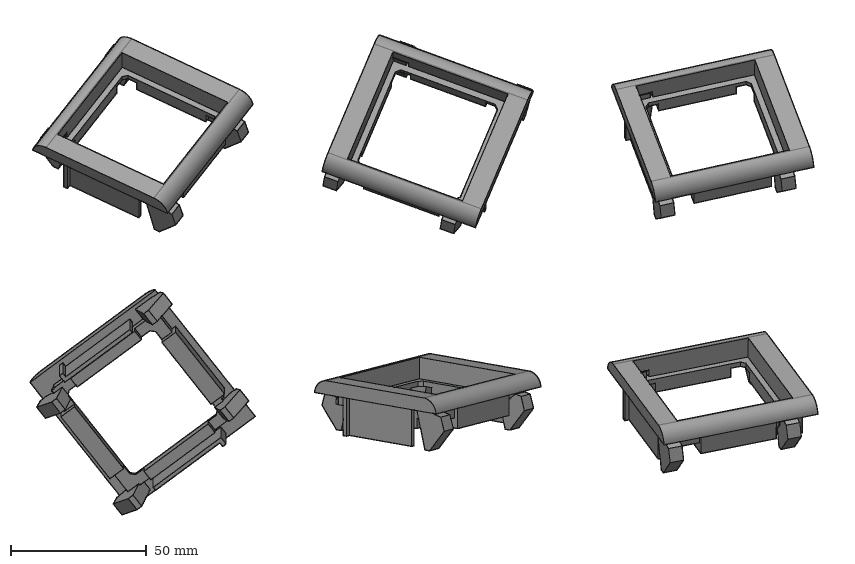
import cadquery as cq


PLATE_LENGTH_Y = 60.8
PLATE_HALF_WIDTH = 29.1
PLATE_THICKNESS = 5.2
FLAT_TOP_HALF_WIDTH = 23.25

BOX_SIZE_X = 50.05
BOX_SIZE_Y = 48.8
BOX_BOTTOM = -9.95
POCKET_TOP_SIZE = 45.6
POCKET_FLOOR_SIZE = 45.1
LEDGE_TOP = -8.0
WINDOW_SIZE = 40.5
WINDOW_CHAMFER = 1.5

WALL_HALF_LENGTH = 14.9
WALL_BOTTOM = -13.75
SIDE_WALL_OUTER_X = 26.6
SKIRT_INNER_Y = 25.85
SKIRT_THICKNESS = 1.45
SKIRT_FLANGE_WIDTH = 1.6
SKIRT_FLANGE_DEPTH = 3.2

OVERALL_LENGTH_X = 63.7
OVERALL_HEIGHT = 20.0
HOOK_WIDTH = 5.35
INNER_HOOK_Y = 17.45
OUTER_HOOK_Y = 23.7
HOOK_ROOT_INNER_X = 18.7
HOOK_ROOT_OUTER_X = 26.1
HOOK_SHOULDER = (27.5, -6.0)
HOOK_CORNER = (30.2, -6.5)
HOOK_TIP_Z = -11.65
HOOK_FOOT_INNER_X = 22.6
HOOK_FOOT_OUTER_X = 24.85

RELIEF_START_Y = 16.5
RELIEF_END_Y = 24.1
RELIEF_TOP_X = 22.75
RELIEF_SEAT_X = 24.0
RELIEF_SEAT_Z = -8.3
WEB_TOP = -5.7
HOOK_NOTCH_Z = -8.6

PLATE_BOTTOM = -PLATE_THICKNESS
OVERALL_BOTTOM = -OVERALL_HEIGHT
BOX_HALF_X = BOX_SIZE_X / 2
BOX_HALF_Y = BOX_SIZE_Y / 2
WINDOW_HALF = WINDOW_SIZE / 2
POCKET_FLOOR_HALF = POCKET_FLOOR_SIZE / 2


def block(x_range, y_range, z_range):
    """Axis-aligned box filling the given (low, high) ranges."""
    size = [high - low for low, high in (x_range, y_range, z_range)]
    corner = (x_range[0], y_range[0], z_range[0])
    return cq.Workplane("XY").box(*size, centered=False).translate(corner)


def xz_prism(points, y_range):
    """Closed XZ polygon extruded over a (low, high) range of Y."""
    low, high = y_range
    return cq.Workplane("XZ", origin=(0, high, 0)).polyline(points).close().extrude(high - low)


def with_half_turn(shape):
    """A shape together with its copy turned half a revolution about Z."""
    return shape.union(shape.rotate((0, 0, 0), (0, 0, 1), 180))


def make_plate():
    """Plate whose long edges curve down tangentially from the flat top."""
    half = (
        cq.Workplane("XZ", origin=(0, PLATE_LENGTH_Y / 2, 0))
        .lineTo(FLAT_TOP_HALF_WIDTH, 0)
        .tangentArcPoint((PLATE_HALF_WIDTH, PLATE_BOTTOM), relative=False)
        .lineTo(0, PLATE_BOTTOM)
        .close()
        .extrude(PLATE_LENGTH_Y)
    )
    return with_half_turn(half)


def make_box():
    """Solid box under the plate, before the pocket and window are cut."""
    return block((-BOX_HALF_X, BOX_HALF_X), (-BOX_HALF_Y, BOX_HALF_Y), (BOX_BOTTOM, PLATE_BOTTOM))


def make_pocket():
    """Pocket that narrows slightly towards the ledge."""
    return (
        cq.Workplane("XY")
        .rect(POCKET_TOP_SIZE, POCKET_TOP_SIZE)
        .workplane(offset=LEDGE_TOP)
        .rect(POCKET_FLOOR_SIZE, POCKET_FLOOR_SIZE)
        .loft()
    )


def make_window():
    """Window through the ledge, with chamfered corners."""
    return (
        cq.Workplane("XY", origin=(0, 0, BOX_BOTTOM))
        .rect(WINDOW_SIZE, WINDOW_SIZE)
        .extrude(-BOX_BOTTOM)
        .edges("|Z")
        .chamfer(WINDOW_CHAMFER)
    )


def make_walls():
    """Walls flush with the window sides, centred on the +X and -Y sides."""
    span = (-WALL_HALF_LENGTH, WALL_HALF_LENGTH)
    height = (WALL_BOTTOM, PLATE_BOTTOM)
    side_wall = block((WINDOW_HALF, SIDE_WALL_OUTER_X), span, height)
    front_wall = block(span, (-BOX_HALF_Y, -WINDOW_HALF), height)
    return side_wall.union(front_wall)


def make_skirt():
    """Deep front panel with a thicker flange at its -X end."""
    height = (OVERALL_BOTTOM, PLATE_BOTTOM)
    panel_y = (-SKIRT_INNER_Y - SKIRT_THICKNESS, -SKIRT_INNER_Y)
    flange_x = (-WALL_HALF_LENGTH - SKIRT_FLANGE_WIDTH, -WALL_HALF_LENGTH)
    flange_y = (-SKIRT_INNER_Y - SKIRT_FLANGE_DEPTH, -SKIRT_INNER_Y)
    panel = block((-WALL_HALF_LENGTH, WALL_HALF_LENGTH), panel_y, height)
    return panel.union(block(flange_x, flange_y, height))


def make_hook(y_range):
    """Snap hook on the +X side, reaching up to the plate."""
    profile = [
        (HOOK_ROOT_INNER_X, PLATE_BOTTOM),
        (HOOK_ROOT_OUTER_X, PLATE_BOTTOM),
        HOOK_SHOULDER,
        HOOK_CORNER,
        (OVERALL_LENGTH_X / 2, HOOK_TIP_Z),
        (HOOK_FOOT_OUTER_X, OVERALL_BOTTOM),
        (HOOK_FOOT_INNER_X, OVERALL_BOTTOM),
    ]
    return xz_prism(profile, y_range)


def make_outer_hook():
    """Hook near the front corner, joined to the plate."""
    return make_hook((-OUTER_HOOK_Y - HOOK_WIDTH, -OUTER_HOOK_Y))


def make_inner_hook():
    """Hook near the back corner, notched clear of the plate and joined to the box only."""
    y_range = (INNER_HOOK_Y, INNER_HOOK_Y + HOOK_WIDTH)
    notch_profile = [
        (WINDOW_HALF, PLATE_BOTTOM),
        (WINDOW_HALF, HOOK_NOTCH_Z),
        (RELIEF_SEAT_X, HOOK_NOTCH_Z),
        HOOK_SHOULDER,
        (HOOK_SHOULDER[0], PLATE_BOTTOM),
    ]
    inside_window = block((0, WINDOW_HALF), y_range, (BOX_BOTTOM, PLATE_BOTTOM))
    return make_hook(y_range).cut(xz_prism(notch_profile, y_range)).cut(inside_window)


def make_relief():
    """Space cut from the box wall around an inner hook, leaving a thin flexible web."""
    wedge_profile = [
        (RELIEF_TOP_X, PLATE_BOTTOM),
        (RELIEF_SEAT_X, RELIEF_SEAT_Z),
        (RELIEF_SEAT_X, BOX_BOTTOM),
        (BOX_HALF_X, BOX_BOTTOM),
        (BOX_HALF_X, PLATE_BOTTOM),
    ]
    wedge = xz_prism(wedge_profile, (RELIEF_START_Y, RELIEF_END_Y))
    corner = block((RELIEF_TOP_X, BOX_HALF_X), (RELIEF_END_Y, BOX_HALF_Y), (BOX_BOTTOM, PLATE_BOTTOM))
    wall_x = (WINDOW_HALF, BOX_HALF_X)
    side_slit = block(wall_x, (RELIEF_START_Y, INNER_HOOK_Y), (LEDGE_TOP, PLATE_BOTTOM))
    top_slit = block(wall_x, (INNER_HOOK_Y, POCKET_FLOOR_HALF), (WEB_TOP, PLATE_BOTTOM))
    return wedge.union(corner).union(side_slit).union(top_slit)


frame = make_plate().union(make_box())
for feature in (make_walls(), make_skirt(), make_outer_hook()):
    frame = frame.union(with_half_turn(feature))

frame = frame.cut(make_pocket()).cut(make_window())
frame = frame.cut(with_half_turn(make_relief()))

result = frame.union(with_half_turn(make_inner_hook()))